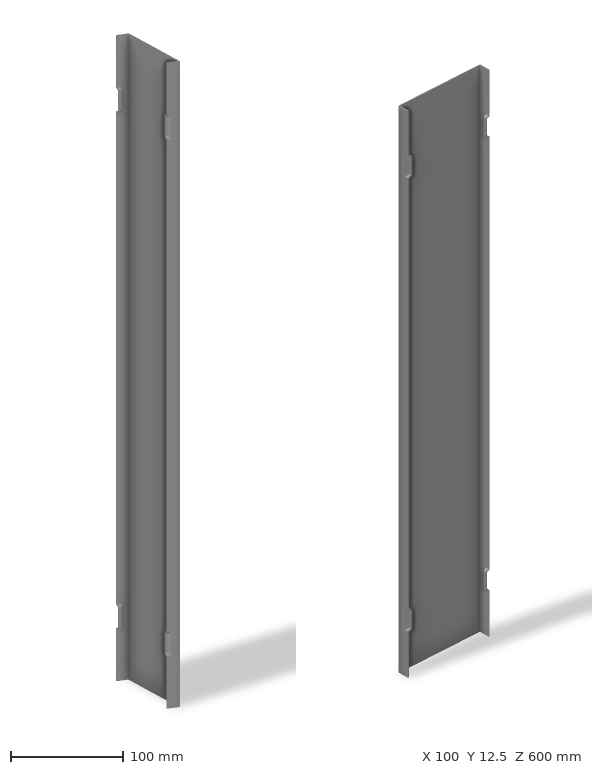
import cadquery as cq

length = 600.0
width = 100.0
depth = 12.5
thickness = 1.0

catch_centre_from_end = 60.0
catch_length = 24.0
catch_depth = 5.0
catch_inset = 3.5
catch_slope = 2.0

front_y = -depth / 2
side_x = width / 2


def make_channel():
    """Back plate and side flanges, open towards -Y and at both ends."""
    outside = cq.Workplane("XY").box(width, depth, length, centered=(True, True, False))
    return outside.faces("<Y or <Z or >Z").shell(-thickness)


def make_catch_block(inset, block_depth, block_length):
    """Wedge on the +X flange whose rear and end walls slope inward."""
    half_length = block_length / 2
    plan = [
        (side_x, front_y),
        (side_x, front_y + block_depth),
        (side_x - inset, front_y + block_depth - catch_slope),
        (side_x - inset, front_y),
    ]
    elevation = [
        (side_x, -half_length),
        (side_x, half_length),
        (side_x - inset, half_length - catch_slope),
        (side_x - inset, -half_length + catch_slope),
    ]
    plan_block = cq.Workplane("XY").polyline(plan).close().extrude(half_length, both=True)
    elevation_block = cq.Workplane("XZ").polyline(elevation).close().extrude(depth, both=True)
    return plan_block.intersect(elevation_block)


def add_catches(channel):
    """Form two catches in each flange, mirrored about the middle of the cover."""
    outer = make_catch_block(catch_inset + thickness, catch_depth, catch_length)
    recess = make_catch_block(catch_inset, catch_depth - thickness, catch_length - 2 * thickness)
    for height in (catch_centre_from_end, length - catch_centre_from_end):
        for turn_sides in (False, True):
            solid_block = outer.mirror("YZ") if turn_sides else outer
            hollow = recess.mirror("YZ") if turn_sides else recess
            channel = channel.union(solid_block.translate((0, 0, height)))
            channel = channel.cut(hollow.translate((0, 0, height)))
    return channel


result = add_catches(make_channel())